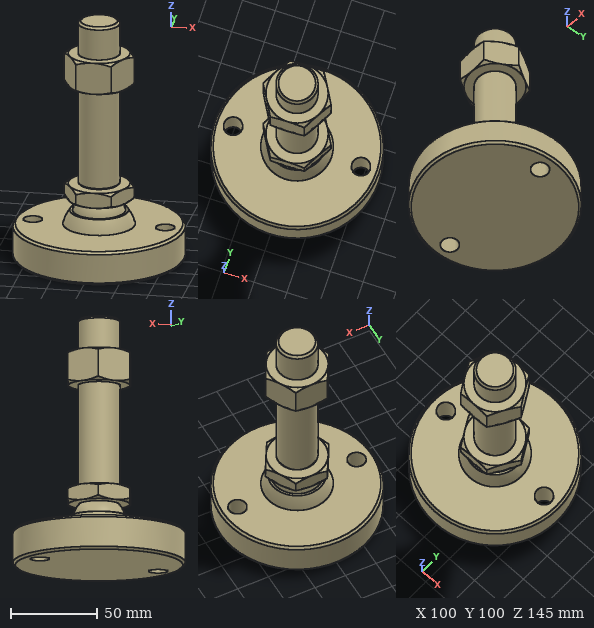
import cadquery as cq
import math

total_height = 145.0
base_radius = 50.0
base_thickness = 20.3
base_chamfer = 1.5
hole_diameter = 11.0
hole_offset = 39.0

collar_bottom_radius = 21.0
collar_top_radius = 17.0
collar_top = 28.5
collar_dome_radius = 21.8

ball_radius = 15.8
ball_center_height = 25.1

shaft_radius = 12.2
shaft_top_chamfer = 1.5
shaft_foot_chamfer = 0.9
spindle_hex_bottom = 35.8
spindle_hex_height = 9.3

across_flats = 36.0
hex_corner_radius = across_flats / math.sqrt(3)
hex_face_radius = across_flats / 2
hex_chamfer_angle = math.radians(30)
hex_chamfer_height = (hex_corner_radius - hex_face_radius) * math.tan(hex_chamfer_angle)

nut_height = 19.1
nut_bottom = 106.0


def make_ball():
    """Full ball centred on the joint."""
    return cq.Workplane("XY").sphere(ball_radius).translate((0, 0, ball_center_height))


def make_chamfered_hexagon(bottom, height):
    """Hexagonal prism with corners on X, turned to a cone at both ends."""
    prism = cq.Workplane("XY").polygon(6, 2 * hex_corner_radius).extrude(height)
    cone_envelope = (
        cq.Workplane("XZ")
        .moveTo(0, 0)
        .lineTo(hex_face_radius, 0)
        .lineTo(hex_corner_radius, hex_chamfer_height)
        .lineTo(hex_corner_radius, height - hex_chamfer_height)
        .lineTo(hex_face_radius, height)
        .lineTo(0, height)
        .close()
        .revolve(360, (0, 0, 0), (0, 1, 0))
    )
    return prism.intersect(cone_envelope).translate((0, 0, bottom))


def make_base():
    """Disc with a domed collar, two mounting holes and a spherical socket."""
    disc = cq.Workplane("XY").circle(base_radius).extrude(base_thickness).edges().chamfer(base_chamfer)
    collar = (
        cq.Workplane("XZ")
        .moveTo(0, base_thickness)
        .lineTo(collar_bottom_radius, base_thickness)
        .radiusArc((collar_top_radius, collar_top), -collar_dome_radius)
        .lineTo(0, collar_top)
        .close()
        .revolve(360, (0, 0, 0), (0, 1, 0))
    )
    holes = (
        cq.Workplane("XY")
        .pushPoints([(-hole_offset, 0), (hole_offset, 0)])
        .circle(hole_diameter / 2)
        .extrude(base_thickness)
    )
    return disc.union(collar).cut(holes).cut(make_ball())


def make_spindle():
    """Ball, hexagon and chamfered shaft in one piece."""
    hexagon = make_chamfered_hexagon(spindle_hex_bottom, spindle_hex_height)
    hex_top = spindle_hex_bottom + spindle_hex_height
    shaft = (
        cq.Workplane("XY", origin=(0, 0, hex_top))
        .circle(shaft_radius)
        .extrude(total_height - hex_top)
        .faces(">Z").chamfer(shaft_top_chamfer)
        .faces("<Z").chamfer(shaft_foot_chamfer)
    )
    return make_ball().union(hexagon).union(shaft)


def make_nut():
    """Hexagon nut bored to the shaft diameter."""
    bore = cq.Workplane("XY", origin=(0, 0, nut_bottom)).circle(shaft_radius).extrude(nut_height)
    return make_chamfered_hexagon(nut_bottom, nut_height).cut(bore)


base = make_base()
spindle = make_spindle()
nut = make_nut()

result = cq.Compound.makeCompound([base.val(), spindle.val(), nut.val()])